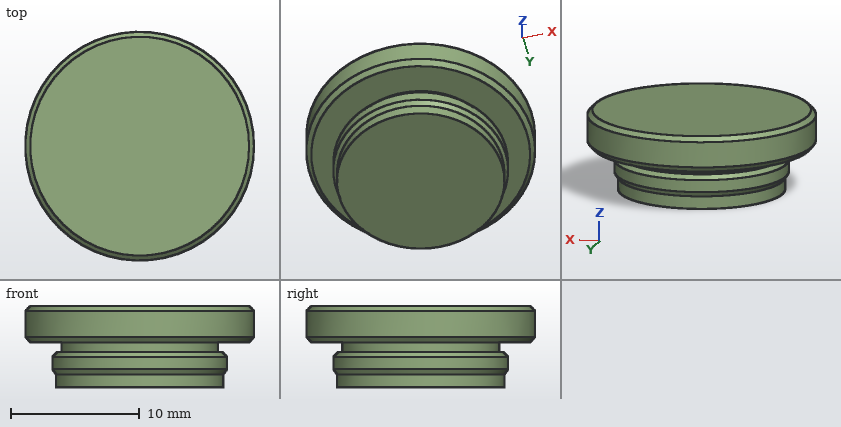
import cadquery as cq

total_height = 6.33
cap_radius = 8.89

cap_thickness = 2.83
cap_bevel = 0.4
cap_lower_bevel_height = 0.43

neck_radius = 6.1
neck_height = 0.75
ring_radius = 6.8
ring_top_bevel = 0.37
ring_taper_height = 0.41

base_radius = 6.5
base_height = 1.01

cap_bottom = total_height - cap_thickness
ring_top = cap_bottom - neck_height


def make_stud():
    """Cap, neck and snap ring turned as one solid about Z."""
    profile = [
        (0, base_height),
        (base_radius, base_height),
        (ring_radius, base_height + ring_taper_height),
        (ring_radius, ring_top - ring_top_bevel),
        (ring_radius - ring_top_bevel, ring_top),
        (neck_radius, ring_top),
        (neck_radius, cap_bottom),
        (cap_radius - cap_bevel, cap_bottom),
        (cap_radius, cap_bottom + cap_lower_bevel_height),
        (cap_radius, total_height - cap_bevel),
        (cap_radius - cap_bevel, total_height),
        (0, total_height),
    ]
    return cq.Workplane("XZ").polyline(profile).close().revolve(360, (0, 0), (0, 1))


def make_base():
    """Plain disc that meets the flat underside of the snap ring."""
    return cq.Workplane("XY").circle(base_radius).extrude(base_height)


stud = make_stud()
base = make_base()

result = cq.Compound.makeCompound([stud.val(), base.val()])